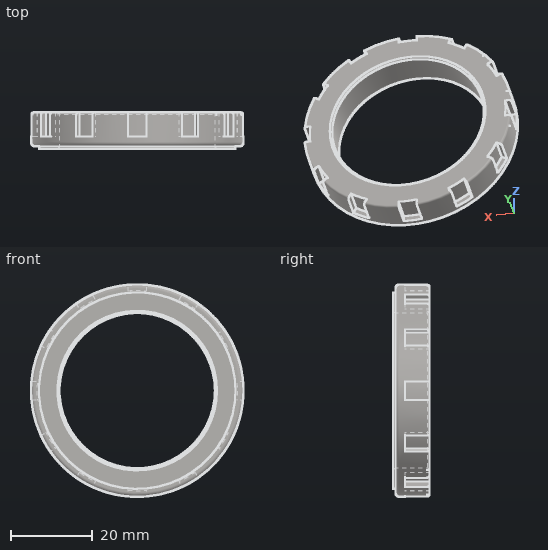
import cadquery as cq

outer_radius = 26.0
bore_radius = 19.0
total_width = 9.0

face_radius = 24.0
face_height = 0.6

front_fillet = 1.0
back_fillet = 0.7
bore_chamfer = 0.5

slot_count = 12
slot_width = 4.5
slot_length = 6.0
slot_floor_radius = 24.5

front_y = -total_width / 2
back_y = total_width / 2


def disc(radius, start_y, length):
    """Solid cylinder on the Y axis, running toward +Y from start_y."""
    plane = cq.Workplane("XZ", origin=(0, start_y, 0))
    return plane.circle(radius).extrude(-length)


def ring_body():
    """Rounded rim with the raised face and a bore chamfered at both ends."""
    rim = disc(outer_radius, front_y + face_height, total_width - face_height)
    rim = rim.faces("<Y").edges().fillet(front_fillet)
    rim = rim.faces(">Y").edges().fillet(back_fillet)
    body = rim.union(disc(face_radius, front_y, total_width / 2))
    body = body.cut(disc(bore_radius, front_y, total_width))
    bore_rims = body.faces("<Y or >Y").edges(cq.selectors.RadiusNthSelector(0))
    return bore_rims.chamfer(bore_chamfer)


def slot_cutter():
    """Parallel-sided slot at +Z with a floor concentric with the ring."""
    block = cq.Workplane("XY").box(
        slot_width, slot_length, outer_radius, centered=(True, False, False)
    )
    slot_start_y = back_y - slot_length
    block = block.translate((0, slot_start_y, slot_floor_radius / 2))
    return block.cut(disc(slot_floor_radius, slot_start_y, slot_length))


result = ring_body()
slot = slot_cutter()
for index in range(slot_count):
    angle = index * 360 / slot_count
    result = result.cut(slot.rotate((0, 0, 0), (0, 1, 0), angle))